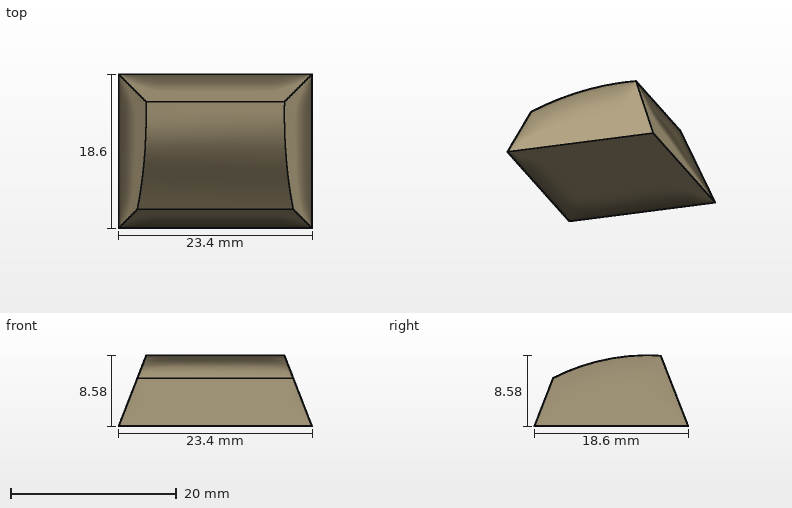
import cadquery as cq
import math

base_length = 23.38
base_width = 18.6

back_edge_height = 8.53
back_edge_inset = 3.32
wall_slope = back_edge_inset / back_edge_height

front_edge_height = 5.82
front_edge_inset = wall_slope * front_edge_height
crown_radius = 25.0

block_height = back_edge_height + 1.17


def make_tapered_block():
    """Four-sided block with equally leaning walls, centred on the origin."""
    return (
        cq.Workplane("XY")
        .rect(base_length, base_width)
        .extrude(block_height, taper=math.degrees(math.atan(wall_slope)))
    )


def make_crown_envelope():
    """Side profile with the arched crown, extruded along the whole length."""
    back_y = base_width / 2
    front_y = -base_width / 2
    return (
        cq.Workplane("YZ")
        .moveTo(front_y, 0)
        .lineTo(back_y, 0)
        .lineTo(back_y - back_edge_inset, back_edge_height)
        .radiusArc((front_y + front_edge_inset, front_edge_height), -crown_radius)
        .close()
        .extrude(base_length / 2, both=True)
    )


def make_keycap():
    """Tapered block trimmed by the arched crown."""
    return make_tapered_block().intersect(make_crown_envelope())


keycap = make_keycap()

result = cq.Compound.makeCompound([keycap.solids().val()])